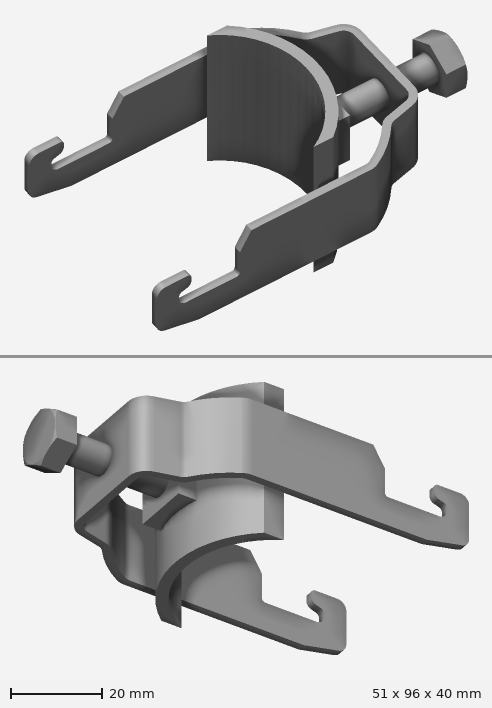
import cadquery as cq
import math


strip_thickness = 2.0
strip_half_height = 10.0
bracket_half_width = 51.0 / 2
crown_y = 79.2
crown_half_width = 13.8
neck_half_width = 16.4
shoulder_radius = 28.3
shoulder_centre_y = 45.7
crown_bend_radius = 4.8
neck_bend_radius = 2.4
leg_bend_radius = 4.8
leg_overrun = 9.6

mouth_y = 22.1
mouth_slope_y = 25.2
mouth_slope_z = 4.8
slot_floor_z = -2.5
slot_floor_radius = 0.9
throat_y = 5.9
throat_upper_z = 1.2
throat_floor_radius = 1.9
throat_upper_radius = 1.2
lip_y = 9.1
lip_lower_z = 2.3
lip_lower_radius = 1.7
hook_top_z = 5.7
lip_upper_radius = 1.0
nose_upper_radius = 2.4
nose_lower_z = -7.6
nose_lower_radius = 2.4
underside_slope_y = 11.1

bolt_end_y = 96.0
head_height = 5.7
head_across_flats = 13.0
head_across_corners = head_across_flats / math.cos(math.pi / 6)
head_chamfer_height = 0.5
head_chamfer_width = 1.1
shank_radius = 7.4 / 2
neck_fillet = 0.3

saddle_half_width = 20.4
saddle_height = 40.0
saddle_inner_radius = 23.1
saddle_thickness = 2.9
saddle_outer_radius = saddle_inner_radius + saddle_thickness
saddle_centre_y = 34.4
pad_size = 14.3
pad_top_y = 64.1


def shoulder_y(x):
    """Y of the outer shoulder arc at distance x from the centre plane."""
    return shoulder_centre_y + math.sqrt(shoulder_radius**2 - x**2)


def round_corner(body, axis, position, radius):
    """Fillet the edge parallel to the given axis that passes closest to the position."""
    edge = body.edges("|" + axis).edges(cq.selectors.NearestToPointSelector(position))
    return edge.fillet(radius)


def make_bent_strip():
    """Strip bent to the clamp outline, with legs longer than needed."""
    shoulder_start_y = shoulder_y(bracket_half_width)
    neck_y = shoulder_y(neck_half_width)
    shoulder_mid_x = (bracket_half_width + neck_half_width) / 2
    shoulder_mid_y = shoulder_y(shoulder_mid_x)
    outer = (
        cq.Workplane("XY", origin=(0, 0, -strip_half_height))
        .moveTo(bracket_half_width, -leg_overrun)
        .lineTo(bracket_half_width, shoulder_start_y)
        .threePointArc((shoulder_mid_x, shoulder_mid_y), (neck_half_width, neck_y))
        .lineTo(crown_half_width, crown_y)
        .lineTo(-crown_half_width, crown_y)
        .lineTo(-neck_half_width, neck_y)
        .threePointArc((-shoulder_mid_x, shoulder_mid_y), (-bracket_half_width, shoulder_start_y))
        .lineTo(-bracket_half_width, -leg_overrun)
        .close()
        .extrude(2 * strip_half_height)
    )
    bends = [
        (bracket_half_width, shoulder_start_y, leg_bend_radius),
        (neck_half_width, neck_y, neck_bend_radius),
        (crown_half_width, crown_y, crown_bend_radius),
    ]
    for x, y, radius in bends:
        for side in (-1, 1):
            outer = round_corner(outer, "Z", (side * x, y, 0), radius)
    inner = (
        outer.faces(">Z").wires().toPending()
        .offset2D(-strip_thickness)
        .extrude(-2 * strip_half_height, combine=False)
    )
    return outer.cut(inner)


def make_leg_profile():
    """Side outline of the bracket with the hook, as a block across both legs."""
    corners = [
        (crown_y, -strip_half_height, 0),
        (crown_y, strip_half_height, 0),
        (mouth_slope_y, strip_half_height, 0),
        (mouth_y, mouth_slope_z, 0),
        (mouth_y, slot_floor_z, slot_floor_radius),
        (throat_y, slot_floor_z, throat_floor_radius),
        (throat_y, throat_upper_z, throat_upper_radius),
        (lip_y, lip_lower_z, lip_lower_radius),
        (lip_y, hook_top_z, lip_upper_radius),
        (0, hook_top_z, nose_upper_radius),
        (0, nose_lower_z, nose_lower_radius),
        (underside_slope_y, -strip_half_height, 0),
    ]
    profile = (
        cq.Workplane("YZ")
        .polyline([(y, z) for y, z, radius in corners])
        .close()
        .extrude(bracket_half_width, both=True)
    )
    for y, z, radius in corners:
        if radius > 0:
            profile = round_corner(profile, "X", (0, y, z), radius)
    return profile


def cylinder_along_y(radius, start_y, end_y):
    return cq.Workplane("XZ", origin=(0, start_y, 0)).circle(radius).extrude(start_y - end_y)


def make_bracket():
    bolt_hole = cylinder_along_y(shank_radius, pad_top_y, bolt_end_y)
    return make_bent_strip().intersect(make_leg_profile()).cut(bolt_hole)


def make_bolt():
    head_base_y = bolt_end_y - head_height
    hexagon = (
        cq.Workplane("XZ", origin=(0, head_base_y, 0))
        .transformed(rotate=(0, 0, 90))
        .polygon(6, head_across_corners)
        .extrude(-head_height)
    )
    corner_trim = (
        cylinder_along_y(head_across_corners / 2, head_base_y, bolt_end_y)
        .faces(">Y")
        .chamfer(head_chamfer_height, head_chamfer_width)
    )
    head = hexagon.intersect(corner_trim)
    shank = cylinder_along_y(shank_radius, pad_top_y, head_base_y)
    seat = cq.selectors.NearestToPointSelector((0, head_base_y, 0))
    return head.union(shank).edges("%CIRCLE").edges(seat).fillet(neck_fillet)


def make_saddle():
    base_z = -saddle_height / 2
    ring = (
        cq.Workplane("XY", origin=(0, saddle_centre_y, base_z))
        .circle(saddle_outer_radius)
        .circle(saddle_inner_radius)
        .extrude(saddle_height)
    )
    keep = (
        cq.Workplane("XY", origin=(0, saddle_centre_y, base_z))
        .rect(2 * saddle_half_width, saddle_outer_radius)
        .extrude(saddle_height)
        .translate((0, saddle_outer_radius / 2, 0))
    )
    pad_base_y = saddle_centre_y + saddle_inner_radius
    pad = cq.Workplane("XY").box(pad_size, pad_top_y - pad_base_y, pad_size)
    pad = pad.translate((0, (pad_top_y + pad_base_y) / 2, 0))
    return ring.intersect(keep).union(pad)


bracket = make_bracket()
bolt = make_bolt()
saddle = make_saddle()

result = cq.Compound.makeCompound([bracket.solids().val(), bolt.solids().val(), saddle.solids().val()])